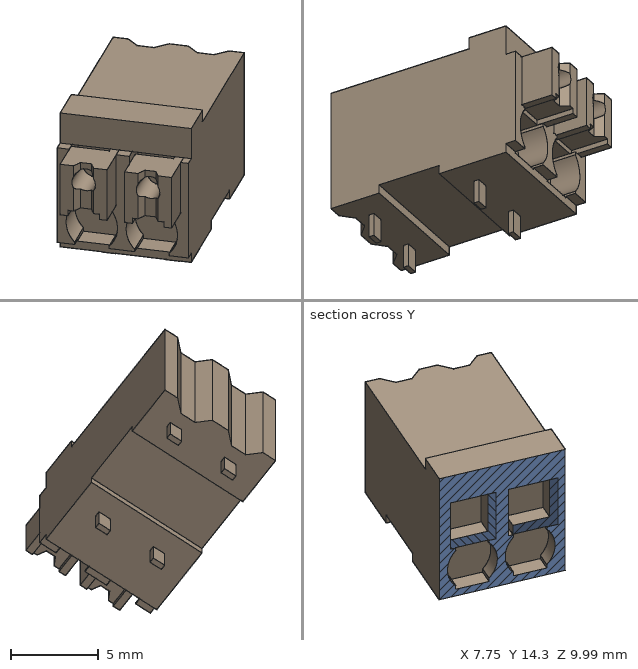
import cadquery as cq

ways = 2

housing_width = 7.75
housing_back = 14.3
body_front = 2.0
cap_front = 2.63
cap_back = 5.1
lip_top = 6.6
body_top = 7.78
cap_top = 8.52
front_undercut = 0.59
foot_gap_front = 7.08
foot_gap_back = 11.08
foot_gap_height = 0.56

cavity_pitch = 3.55
cavity_centre = (housing_width - cavity_pitch) / 2
cavity_back = 3.95
wire_centre = 2.05
wire_slot_width = 2.03
wire_entry_width = 3.03
wire_floor = 0.5
wire_arc_bottom = 0.73
wire_arc_top = 3.19

groove_depth = 0.69
groove_mouth = 2.43
groove_floor = 0.99

contact_pitch = 3.8
contact_centre = cavity_centre
button_width = 2.77
button_bottom = 3.39
button_top = lip_top
button_body_back = 2.39
stem_width = 0.51
shelf_top = 4.05
notch_depth = 0.51
notch_mouth = 1.19
notch_floor = 0.65
probe_diameter = 1.39
probe_height = 5.55
channel_width = 1.86
channel_height = 0.33

pin_width = 0.8
pin_thickness = 0.33
pin_length = 1.47
pin_rows = (5.63, 12.63)


def block(x0, x1, y0, y1, z0, z1):
    """Box between the given limits."""
    return cq.Workplane("XY").box(x1 - x0, y1 - y0, z1 - z0, centered=False).translate((x0, y0, z0))


def trapezoid(centre, y_mouth, y_floor, mouth, floor, z0, z1):
    """Vertical prism that narrows from its mouth to its floor."""
    return (
        cq.Workplane("XY", origin=(centre, 0, z0))
        .moveTo(-mouth / 2, y_mouth)
        .lineTo(-floor / 2, y_floor)
        .lineTo(floor / 2, y_floor)
        .lineTo(mouth / 2, y_mouth)
        .close()
        .extrude(z1 - z0)
    )


def contact_x(way):
    """Centre of the button and pins of one way."""
    return contact_centre + way * contact_pitch


def housing_blank():
    """Side profile with raised cap, front lip and two feet, extruded across the width."""
    profile = [
        (cap_front, 0),
        (cap_front, front_undercut),
        (body_front, front_undercut),
        (body_front, lip_top),
        (cap_front, lip_top),
        (cap_front, cap_top),
        (cap_back, cap_top),
        (cap_back, body_top),
        (housing_back, body_top),
        (housing_back, 0),
        (foot_gap_back, 0),
        (foot_gap_back, foot_gap_height),
        (foot_gap_front, foot_gap_height),
        (foot_gap_front, 0),
    ]
    return cq.Workplane("YZ").polyline(profile).close().extrude(housing_width)


def button_pocket(way):
    """Pocket open to the front and top of the lip, reaching right as far as the button does."""
    left = cavity_centre + way * cavity_pitch - button_width / 2
    right = contact_x(way) + button_width / 2
    return block(left, right, body_front, cavity_back, button_bottom, button_top)


def wire_entry(way):
    """Straight slot with bulged sides below the button pocket."""
    slot_half = wire_slot_width / 2
    entry_half = wire_entry_width / 2
    arc_middle = (wire_arc_bottom + wire_arc_top) / 2
    return (
        cq.Workplane("XZ", origin=(wire_centre + way * cavity_pitch, body_front, 0))
        .moveTo(-slot_half, wire_floor)
        .lineTo(slot_half, wire_floor)
        .lineTo(slot_half, wire_arc_bottom)
        .threePointArc((entry_half, arc_middle), (slot_half, wire_arc_top))
        .lineTo(slot_half, button_bottom)
        .lineTo(-slot_half, button_bottom)
        .lineTo(-slot_half, wire_arc_top)
        .threePointArc((-entry_half, arc_middle), (-slot_half, wire_arc_bottom))
        .close()
        .extrude(body_front - cavity_back)
    )


def back_groove(way):
    """Full-height groove in the back face."""
    centre = cavity_centre + way * cavity_pitch
    groove_y = housing_back - groove_depth
    return trapezoid(centre, housing_back, groove_y, groove_mouth, groove_floor, 0, body_top)


def make_housing():
    housing = housing_blank()
    for way in range(ways):
        housing = housing.cut(button_pocket(way)).cut(wire_entry(way)).cut(back_groove(way))
    return housing


def make_button(way):
    """Push button with a rear stem and low shelf, a front notch, a probe hole and a bottom channel."""
    centre = contact_x(way)
    left = centre - button_width / 2
    right = centre + button_width / 2
    body = block(left, right, 0, button_body_back, button_bottom, button_top)
    stem = block(right - stem_width, right, 0, cavity_back, button_bottom, button_top)
    shelf = block(left, right, button_body_back, cavity_back, button_bottom, shelf_top)
    notch = trapezoid(centre, 0, notch_depth, notch_mouth, notch_floor, button_bottom, button_top)
    probe_hole = (
        cq.Workplane("XZ", origin=(centre, 0, probe_height))
        .circle(probe_diameter / 2)
        .extrude(-button_body_back)
    )
    channel = block(
        centre - channel_width / 2,
        centre + channel_width / 2,
        0,
        button_body_back,
        button_bottom,
        button_bottom + channel_height,
    )
    return body.union(stem).union(shelf).cut(notch).cut(probe_hole).cut(channel)


def make_pin(way, row_y):
    """Flat solder pin standing under the housing."""
    centre = contact_x(way)
    return block(
        centre - pin_width / 2,
        centre + pin_width / 2,
        row_y - pin_thickness / 2,
        row_y + pin_thickness / 2,
        -pin_length,
        0,
    )


housing = make_housing()
buttons = [make_button(way).val() for way in range(ways)]
pins = [make_pin(way, row_y).val() for way in range(ways) for row_y in pin_rows]

result = cq.Compound.makeCompound([housing.val(), *buttons, *pins])